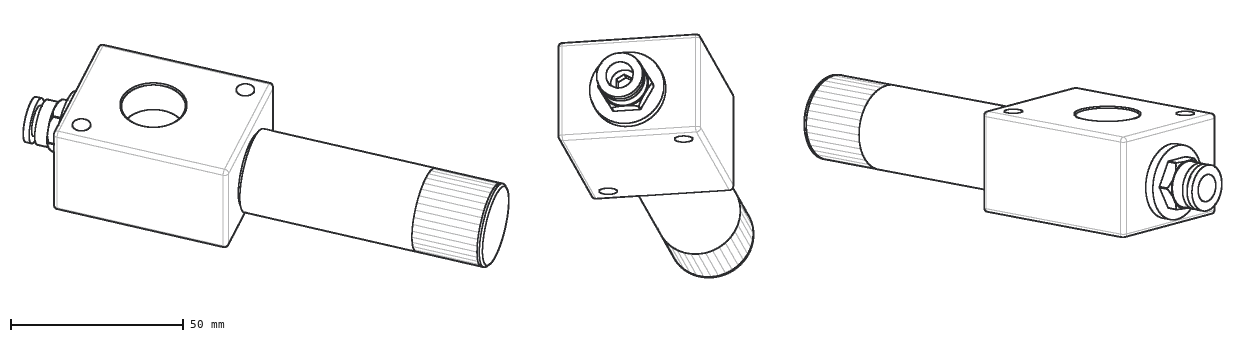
import cadquery as cq
import math

overall_length = 142.9

block_start = 14.0
block_length = 53.6
block_width = 42.0
block_height = 30.0
block_edge_radius = 1.3
block_end = block_start + block_length
block_middle = block_start + block_length / 2

mount_hole_diameter = 5.3
mount_hole_spacing_x = 40.0
mount_hole_spacing_y = 30.0
pocket_diameter = 18.6
pocket_x = 37.7
pocket_depth = 10.0
pocket_chamfer = 0.5

fitting_diameter = 13.6
groove_diameter = 9.1
groove_start = 1.9
groove_end = 3.6
nut_start = 7.5
nut_across_flats = 14.0
nut_corner_diameter = 16.0
nut_chamfer = 0.9
flange_start = 11.3
flange_diameter = 22.0
bore_diameter = 8.0
bore_depth = 7.1
socket_corner_diameter = 5.3
socket_depth = 2.9

neck_diameter = 22.0
handle_start = 68.6
handle_diameter = 25.0
handle_end_chamfer = 0.7
knurl_start = 121.5
knurl_end = 141.5
knurl_count = 36

handle_bottom_inset = 1.0
axis_height = -block_height / 2 + handle_bottom_inset + handle_diameter / 2


def axial_plane(x):
    """Plane facing +X on the common axis; its local x is Y and its local y is Z."""
    return cq.Workplane("YZ", origin=(x, 0, axis_height))


def cylinder(start, end, diameter):
    return axial_plane(start).circle(diameter / 2).extrude(end - start)


def make_block():
    block = cq.Workplane("XY").box(block_length, block_width, block_height)
    block = block.edges().fillet(block_edge_radius)
    return block.translate((block_middle, 0, 0))


def cut_block_holes(body):
    top = cq.Workplane("XY", origin=(0, 0, block_height / 2))
    pocket = top.center(pocket_x, 0).circle(pocket_diameter / 2).extrude(-pocket_depth)
    body = body.cut(pocket)
    body = body.faces(">Z").edges("%CIRCLE").chamfer(pocket_chamfer)
    offset_x = mount_hole_spacing_x / 2
    offset_y = mount_hole_spacing_y / 2
    mounts = [(block_middle - offset_x, -offset_y), (block_middle + offset_x, offset_y)]
    holes = top.pushPoints(mounts).circle(mount_hole_diameter / 2).extrude(-block_height)
    return body.cut(holes)


def make_nut():
    """Hexagonal nut with its corners trimmed to a cylinder and its outer end chamfered."""
    across_corners = nut_across_flats / math.cos(math.pi / 6)
    hexagon = axial_plane(nut_start).polygon(6, across_corners).extrude(flange_start - nut_start)
    limit = cylinder(nut_start, flange_start, nut_corner_diameter).faces("<X").chamfer(nut_chamfer)
    return hexagon.intersect(limit)


def make_fitting():
    fitting = cylinder(0, groove_start, fitting_diameter)
    fitting = fitting.union(cylinder(groove_start, groove_end, groove_diameter))
    fitting = fitting.union(cylinder(groove_end, nut_start, fitting_diameter))
    fitting = fitting.union(make_nut())
    return fitting.union(cylinder(flange_start, block_start, flange_diameter))


def cut_fitting_bore(body):
    bore = cylinder(0, bore_depth, bore_diameter)
    socket_plane = axial_plane(bore_depth).transformed(rotate=(0, 0, 30))
    socket = socket_plane.polygon(6, socket_corner_diameter).extrude(socket_depth)
    return body.cut(bore).cut(socket)


def make_handle():
    neck = cylinder(block_end, handle_start, neck_diameter)
    grip = cylinder(handle_start, overall_length, handle_diameter)
    grip = grip.faces(">X").chamfer(handle_end_chamfer)
    return neck.union(grip)


def knurl_handle(body):
    """Turn the knurled stretch into a prism whose corners lie on the handle surface."""
    length = knurl_end - knurl_start
    facets = axial_plane(knurl_start).polygon(knurl_count, handle_diameter).extrude(length)
    waste = cylinder(knurl_start, knurl_end, handle_diameter).cut(facets)
    return body.cut(waste)


result = make_block().union(make_fitting()).union(make_handle())
result = cut_block_holes(result)
result = cut_fitting_bore(result)
result = knurl_handle(result)